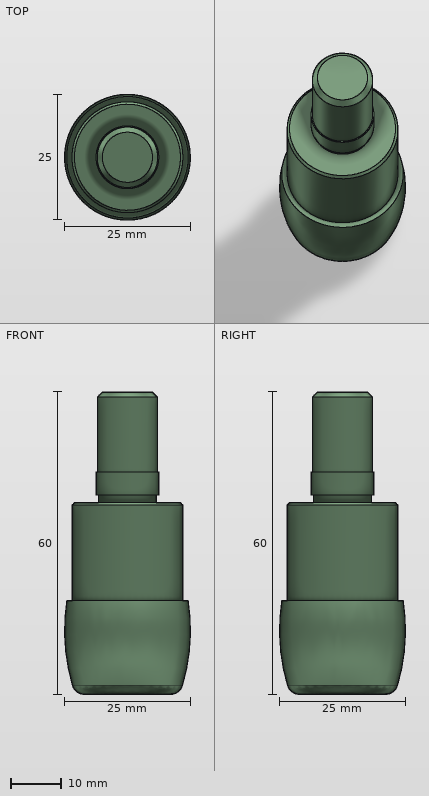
import cadquery as cq
import math

total_height = 60.0
cap_height = 18.6
body_top = 38.05
collar_bottom = 39.55
collar_top = 44.1

body_diameter = 22.0
body_chamfer = 0.5
neck_diameter = 11.5
collar_diameter = 12.5
shank_diameter = 12.0
shank_chamfer = 1.0

crown_radius = 25.0 / 2
crown_height = 12.7
barrel_arc_radius = 38.4
cap_bottom_fillet = 2.5


def barrel_radius(height):
    """Radius of the cap's crowned side at a height."""
    arc_center = crown_radius - barrel_arc_radius
    return arc_center + math.sqrt(barrel_arc_radius**2 - (height - crown_height) ** 2)


def cylinder(diameter, bottom, top):
    """Upright cylinder on the Z axis between two heights."""
    return cq.Workplane("XY", origin=(0, 0, bottom)).circle(diameter / 2).extrude(top - bottom)


def make_cap():
    """Solid cap with a crowned side and a rounded bottom edge."""
    profile = (
        cq.Workplane("XZ")
        .lineTo(barrel_radius(0), 0)
        .threePointArc((crown_radius, crown_height), (barrel_radius(cap_height), cap_height))
        .lineTo(0, cap_height)
        .close()
    )
    barrel = profile.revolve(360, (0, 0, 0), (0, 1, 0))
    return barrel.faces("<Z").edges().fillet(cap_bottom_fillet)


def make_pin():
    """Thick body seated on the cap, then a neck, a collar and a chamfered shank."""
    body = cylinder(body_diameter, cap_height, body_top).faces(">Z").edges().chamfer(body_chamfer)
    neck = cylinder(neck_diameter, body_top, collar_bottom)
    collar = cylinder(collar_diameter, collar_bottom, collar_top)
    shank = cylinder(shank_diameter, collar_top, total_height).faces(">Z").edges().chamfer(shank_chamfer)
    return body.union(neck).union(collar).union(shank)


cap = make_cap()
pin = make_pin()

result = cq.Compound.makeCompound([cap.solids().val(), pin.solids().val()])